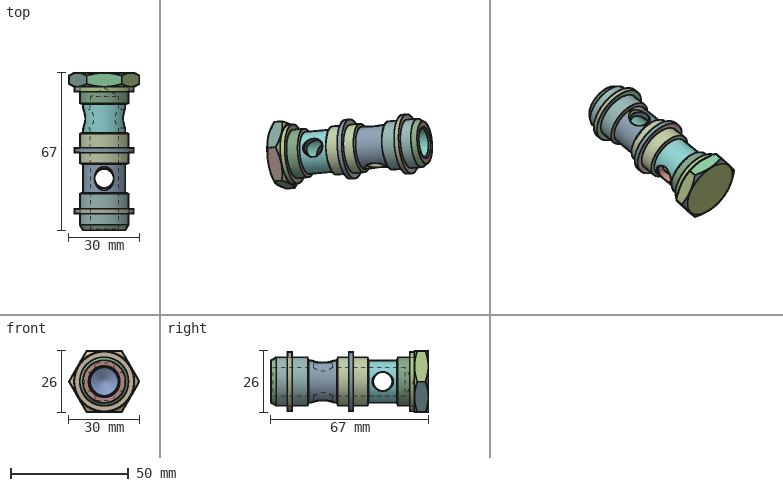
import cadquery as cq
import math

length = 67.0
head_face_y = length / 2

across_flats = 26.0
across_corners = across_flats / math.cos(math.radians(30))
head_height = 5.95
head_face_diameter = 25.7
head_chamfer_angle = 30.0

collar_radius = 10.4
neck_radius = 9.05
first_neck_station = 19.4
neck_pitch = 25.5
neck_stations = [first_neck_station, first_neck_station + neck_pitch]
neck_length = 12.0
shoulder_length = 0.5
tip_radius = neck_radius
tip_chamfer_length = 2.3

bore_radius = 6.0
bore_chamfer = 0.7
bore_end_station = 10.0
drill_point_angle = 118.0

cross_hole_radius = 4.0
first_hole_chamfer = 0.5
second_hole_chamfer = 1.0

washer_outer_radius = 12.65
washer_thickness = 2.0
washer_pitch = 26.0
washer_count = 3


def y_at(station):
    """Y coordinate at a distance from the outer face of the head."""
    return head_face_y - station


def revolve_about_y(points):
    """Solid of revolution about the Y axis from (radius, station) points."""
    profile = [(radius, y_at(station)) for radius, station in points]
    return cq.Workplane("XY").polyline(profile).close().revolve(360, (0, 0, 0), (0, 1, 0))


def make_head():
    """Hexagonal prism with its corners chamfered by a cone at both ends."""
    hexagon = (
        cq.Workplane("XZ", origin=(0, head_face_y, 0))
        .polygon(6, across_corners)
        .extrude(head_height)
    )
    face_radius = head_face_diameter / 2
    corner_radius = across_corners / 2
    corner_drop = (corner_radius - face_radius) * math.tan(math.radians(head_chamfer_angle))
    envelope = revolve_about_y([
        (0, 0),
        (face_radius, 0),
        (corner_radius, corner_drop),
        (corner_radius, head_height - corner_drop),
        (face_radius, head_height),
        (0, head_height),
    ])
    return hexagon.intersect(envelope)


def make_shank():
    """Stepped shank with conical shoulders at the necks and a chamfered tip."""
    points = [(0, head_height), (collar_radius, head_height)]
    for station in neck_stations:
        neck_start = station - neck_length / 2
        neck_end = station + neck_length / 2
        points += [
            (collar_radius, neck_start - shoulder_length),
            (neck_radius, neck_start),
            (neck_radius, neck_end),
            (collar_radius, neck_end + shoulder_length),
        ]
    points += [(collar_radius, length - tip_chamfer_length), (tip_radius, length), (0, length)]
    return revolve_about_y(points)


def make_bore():
    """Cutter for the bore, with a drill-point end and a chamfered mouth."""
    point_depth = bore_radius / math.tan(math.radians(drill_point_angle / 2))
    return revolve_about_y([
        (0, bore_end_station - point_depth),
        (bore_radius, bore_end_station),
        (bore_radius, length - bore_chamfer),
        (bore_radius + bore_chamfer, length),
        (0, length),
    ])


def make_cross_hole(station, direction, chamfer):
    """Cutter through a neck along the given direction, with a 45 degree chamfer at each end."""
    axis = cq.Vector(*direction)
    centre = cq.Vector(0, y_at(station), 0)
    cutter = cq.Workplane(
        cq.Solid.makeCylinder(
            cross_hole_radius, 2 * neck_radius, centre - axis * neck_radius, axis
        )
    )
    for outward in (axis, axis * -1):
        countersink = cq.Solid.makeCone(
            cross_hole_radius,
            cross_hole_radius + chamfer,
            chamfer,
            centre + outward * (neck_radius - chamfer),
            outward,
        )
        cutter = cutter.union(cq.Workplane(countersink))
    return cutter


def make_bolt():
    first_hole = make_cross_hole(neck_stations[0], (1, 0, 0), first_hole_chamfer)
    second_hole = make_cross_hole(neck_stations[1], (0, 0, 1), second_hole_chamfer)
    blank = make_head().union(make_shank())
    return blank.cut(make_bore()).cut(first_hole).cut(second_hole)


def make_washer(station):
    """Flat ring fitting around a collar, starting at the given station."""
    return (
        cq.Workplane("XZ", origin=(0, y_at(station), 0))
        .circle(washer_outer_radius)
        .circle(collar_radius)
        .extrude(washer_thickness)
    )


bolt = make_bolt()
washers = [make_washer(head_height + index * washer_pitch) for index in range(washer_count)]

result = cq.Compound.makeCompound([bolt.val(), *[washer.val() for washer in washers]])